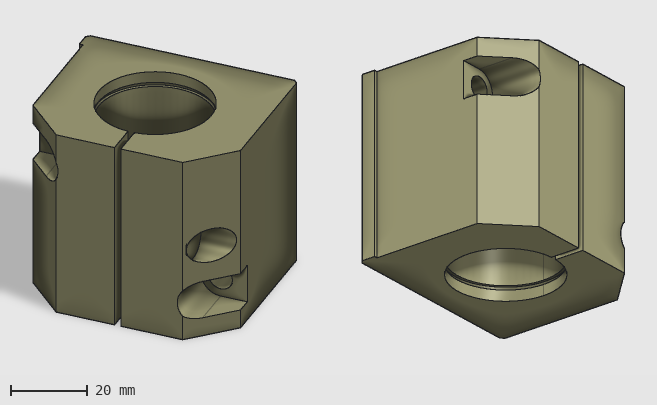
import cadquery as cq

width = 60.0
depth = 50.0
height = 54.0
front_chamfer = 11.5
back_chamfer = 1.0
lip_thickness = 1.0
lip_depth = 5.05

bore_diameter = 32.0
slit_width = 1.8
groove_diameter = 33.7
groove_width = 1.25
groove_inset = 3.25

mount_diameter = 6.65
mount_x = 22.45
mount_z = 16.0
recess_width = 11.05
recess_depth = 16.0

screw_head_diameter = 10.0
screw_y = -19.25
screw_floor_x = 19.1

right = width / 2
left = -right
back = depth / 2
front = -back
left_wall = left + lip_thickness


def make_block():
    outline = [
        (left + back_chamfer, back),
        (right - back_chamfer, back),
        (right, back - back_chamfer),
        (right, front + front_chamfer),
        (right - front_chamfer, front),
        (left_wall + front_chamfer, front),
        (left_wall, front + front_chamfer),
        (left_wall, back - lip_depth),
        (left, back - lip_depth),
        (left, back - back_chamfer),
    ]
    return cq.Workplane("XY").polyline(outline).close().extrude(height / 2, both=True)


def make_bore():
    """Through bore with a retaining ring groove near each end."""
    bore = cq.Workplane("XY").circle(bore_diameter / 2).extrude(height / 2, both=True)
    groove_z = height / 2 - groove_inset - groove_width / 2
    for z in (-groove_z, groove_z):
        groove = cq.Workplane("XY").circle(groove_diameter / 2).extrude(groove_width / 2, both=True)
        bore = bore.union(groove.translate((0, 0, z)))
    return bore


def make_slit():
    """Slot from the bore axis out through the front face."""
    return cq.Workplane("XY").box(slit_width, depth / 2, height).translate((0, front / 2, 0))


def make_mount(side):
    """Through hole and recess; side is -1 for upper left, 1 for lower right."""
    x = side * mount_x
    z = -side * mount_z
    hole = cq.Workplane("XZ").center(x, z).circle(mount_diameter / 2).extrude(depth / 2, both=True)
    recess_plane = cq.Workplane("XZ", origin=(0, front + recess_depth, 0))
    round_end = recess_plane.center(x, z).circle(recess_width / 2).extrude(recess_depth)
    open_length = right - mount_x
    open_end = (
        recess_plane.center(x + side * open_length / 2, z)
        .rect(open_length, recess_width)
        .extrude(recess_depth)
    )
    return hole.union(round_end).union(open_end)


def make_screw_counterbore():
    return (
        cq.Workplane("YZ", origin=(screw_floor_x, screw_y, 0))
        .circle(screw_head_diameter / 2)
        .extrude(right - screw_floor_x)
    )


result = make_block().cut(make_bore()).cut(make_slit())
for mount_side in (-1, 1):
    result = result.cut(make_mount(mount_side))
result = result.cut(make_screw_counterbore())